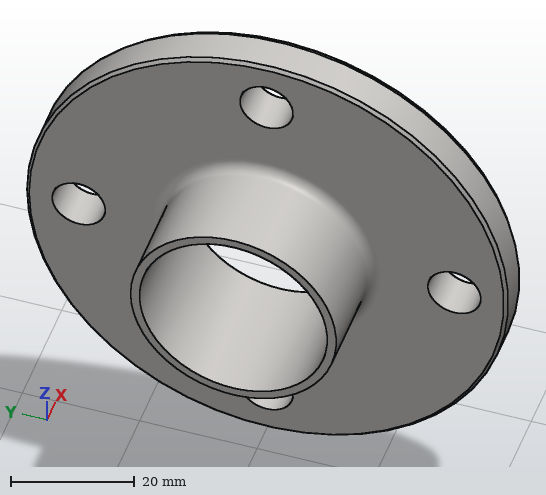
import cadquery as cq

flange_diameter = 82.0
total_length = 24.0
flange_thickness = 7.2
hub_diameter = 35.0
bore_diameter = 32.0

hole_count = 4
hole_diameter = 9.0
bolt_circle_diameter = 64.0

hub_fillet = 2.0
front_chamfer = 0.6
back_chamfer_length = 1.0
back_chamfer_depth = 0.6

flange_face = total_length - flange_thickness


def disc(diameter, start, length):
    """Solid cylinder along +X, beginning at X = start."""
    return cq.Workplane("YZ", origin=(start, 0, 0)).circle(diameter / 2).extrude(length)


def make_flange():
    flange = disc(flange_diameter, flange_face, flange_thickness)
    flange = flange.faces("<X").edges().chamfer(front_chamfer)
    back_edge = cq.Workplane("XY").moveTo(total_length - back_chamfer_length, flange_diameter / 2)
    chamfer_ring = (
        back_edge.line(back_chamfer_length, 0)
        .line(0, -back_chamfer_depth)
        .close()
        .revolve(360, (0, 0, 0), (1, 0, 0))
    )
    return flange.cut(chamfer_ring)


def make_hub():
    """Pipe stub with a concave fillet where it meets the flange."""
    hub_radius = hub_diameter / 2
    foot_radius = hub_radius + hub_fillet
    fillet_start = flange_face - hub_fillet
    arc_drop = hub_fillet * (1 - 0.5 ** 0.5)
    profile = (
        cq.Workplane("XY")
        .lineTo(0, hub_radius)
        .lineTo(fillet_start, hub_radius)
        .threePointArc(
            (flange_face - arc_drop, hub_radius + arc_drop),
            (flange_face, foot_radius),
        )
        .lineTo(total_length, foot_radius)
        .lineTo(total_length, 0)
        .close()
    )
    return profile.revolve(360, (0, 0, 0), (1, 0, 0))


def make_bolt_holes():
    return (
        cq.Workplane("YZ", origin=(flange_face, 0, 0))
        .polarArray(bolt_circle_diameter / 2, 0, 360, hole_count)
        .circle(hole_diameter / 2)
        .extrude(flange_thickness)
    )


bore = disc(bore_diameter, 0, total_length)
result = make_flange().union(make_hub()).cut(bore).cut(make_bolt_holes())